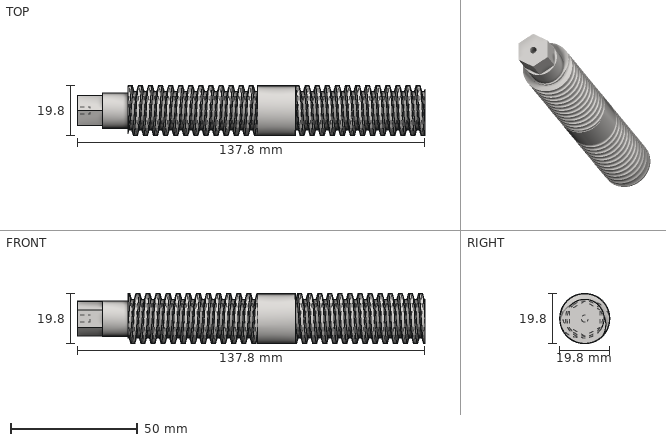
import cadquery as cq
import math

total_length = 137.8
hex_length = 9.9
shoulder_x = 20.0
hex_across_flats = 12.0
neck_diameter = 14.0
outer_diameter = 19.8

center_hole_diameter = 2.8
center_hole_depth = 5.0

collar_length = 15.0
collar_center = (shoulder_x + total_length) / 2
collar_start = collar_center - collar_length / 2
collar_end = collar_center + collar_length / 2

pitch = 4.0
root_diameter = 15.3
root_width = 1.4
flank_angle = math.radians(15.0)
ridge_embed = 0.3
left_groove_x = shoulder_x
right_groove_x = 88.0


def cylinder(diameter, start, end):
    """Solid cylinder on the X axis between two X positions."""
    return cq.Workplane("YZ", origin=(start, 0, 0)).circle(diameter / 2).extrude(end - start)


def helical_ridge(first_x, turns, left_handed):
    """Trapezoidal ridge wound about X, centred on the +Z side at first_x and advancing along +X.

    Its base lies slightly inside the root cylinder so that the two merge cleanly.
    """
    base_radius = root_diameter / 2 - ridge_embed
    crest_radius = outer_diameter / 2
    base_half = (pitch - root_width) / 2 + ridge_embed * math.tan(flank_angle)
    crest_half = base_half - (crest_radius - base_radius) * math.tan(flank_angle)
    corners = [
        (base_radius, -base_half),
        (crest_radius, -crest_half),
        (crest_radius, crest_half),
        (base_radius, base_half),
    ]

    helices = [
        cq.Wire.makeHelix(pitch, turns * pitch, radius, cq.Vector(0, 0, offset), lefthand=left_handed)
        for radius, offset in corners
    ]
    faces = [cq.Face.makeRuledSurface(helices[i - 1], helices[i]) for i in range(len(helices))]
    for rise in (0, turns * pitch):
        cap = [cq.Vector(radius, 0, offset + rise) for radius, offset in corners]
        faces.append(cq.Face.makeFromWires(cq.Wire.makePolygon(cap, close=True)))
    ridge = cq.Solid.makeSolid(cq.Shell.makeShell(faces))
    ridge = ridge.rotate(cq.Vector(0, 0, 0), cq.Vector(0, 1, 0), 90)
    ridge = ridge.rotate(cq.Vector(0, 0, 0), cq.Vector(1, 0, 0), 180)
    return cq.Workplane(obj=ridge.translate(cq.Vector(first_x, 0, 0)))


def threaded_length(start, end, groove_x, left_handed):
    """Root cylinder and ridge, cut off square at both ends."""
    ridge_x = groove_x - math.ceil((groove_x - start) / pitch + 1) * pitch
    turns = math.ceil((end - ridge_x) / pitch) + 1
    envelope_width = 2 * outer_diameter
    envelope_center = cq.Workplane(origin=((start + end) / 2, 0, 0))
    envelope = envelope_center.box(end - start, envelope_width, envelope_width)
    ridge = helical_ridge(ridge_x, turns, left_handed).intersect(envelope)
    return cylinder(root_diameter, start, end).union(ridge)


corner_diameter = hex_across_flats / math.cos(math.pi / 6)
hexagon = (
    cq.Workplane("YZ")
    .polygon(6, corner_diameter)
    .extrude(hex_length)
    .rotate((0, 0, 0), (1, 0, 0), 30)
)

neck = cylinder(neck_diameter, hex_length, shoulder_x)
left_thread = threaded_length(shoulder_x, collar_start, left_groove_x, True)
collar = cylinder(outer_diameter, collar_start, collar_end)
right_thread = threaded_length(collar_end, total_length, right_groove_x, False)

shaft = hexagon.union(neck).union(left_thread).union(collar).union(right_thread)
result = shaft.cut(cylinder(center_hole_diameter, 0, center_hole_depth))